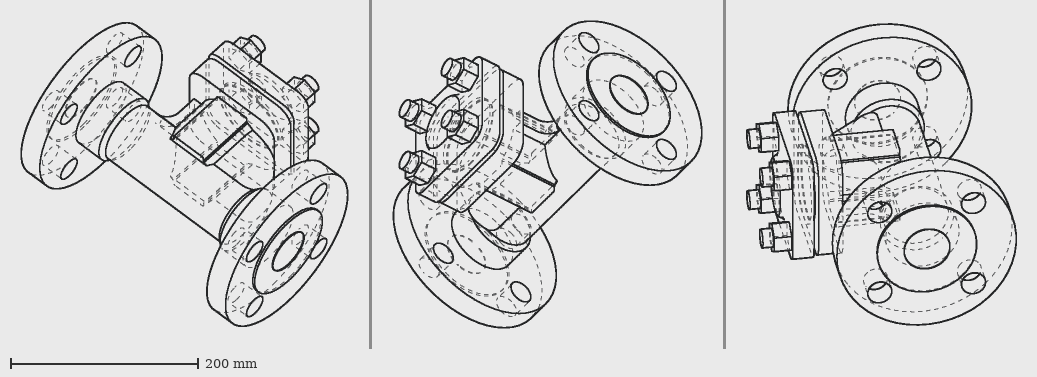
import cadquery as cq
import math

overall_length = 300.0
raised_face_height = 2.7
raised_face_radius = 54.0
flange_radius = 97.5
flange_thickness = 27.0
bolt_circle_radius = 72.0
bolt_hole_diameter = 26.0
port_radius = 25.0
port_depth = 1.0
hub_radius = 40.0
pipe_radius = 35.0
hub_length = 33.0
hub_taper_length = 5.5

run_end = overall_length / 2
flange_face = run_end - raised_face_height
flange_back = flange_face - flange_thickness
hub_end = flange_back - hub_length
taper_end = hub_end - hub_taper_length

neck_radius = 43.5
neck_start = 6.3
bonnet_width = 122.5
body_plate_start = 75.5
body_plate_thickness = 26.0
body_plate_corner = 20.0
gasket_gap = 4.8
gasket_seat_height = 1.0
gasket_radius = 43.0
gasket_seat_radius = 41.7
cover_thickness = 23.0
cover_corner = 15.0

body_plate_end = body_plate_start + body_plate_thickness
cover_start = body_plate_end + gasket_gap
cover_end = cover_start + cover_thickness

boss_radius = 32.5
boss_height = 8.0
boss_taper_angle = 30.0
boss_root_fillet = 6.0
boss_edge_chamfer = 1.5
stud_offset = 38.7
stud_diameter = 20.5
stud_top = 160.0
nut_across_flats = 30.0
nut_height = 19.0

pad_half_width = 21.3
pad_face = 45.3
pad_edge_radius = 2.0
pad_root_flare = 1.2
pad_root_height = 1.8

shoulder_radius = 32.0
shoulder_angle = 52.0
shoulder_axis_x = 30.3
shoulder_axis_y = 63.5

web_thickness = 18.0
web_edge = 54.5
web_root_radius = 18.0


def along_y(start):
    """Workplane facing +Y at height start; its local axes are Z and X."""
    return cq.Workplane("ZX", origin=(0, start, 0))


def make_run():
    """Revolve the pipe, hubs, flanges and raised faces in one profile."""
    half_profile = [
        (run_end, raised_face_radius),
        (flange_face, raised_face_radius),
        (flange_face, flange_radius),
        (flange_back, flange_radius),
        (flange_back, hub_radius),
        (hub_end, hub_radius),
        (taper_end, pipe_radius),
    ]
    mirrored = [(-x, radius) for x, radius in reversed(half_profile)]
    outline = [(run_end, 0)] + half_profile + mirrored + [(-run_end, 0)]
    return cq.Workplane("XY").polyline(outline).close().revolve(360, (0, 0, 0), (1, 0, 0))


def make_bolt_holes():
    holes = (
        cq.Workplane("YZ", origin=(flange_back, 0, 0))
        .polarArray(bolt_circle_radius, 45, 360, 4)
        .circle(bolt_hole_diameter / 2)
        .extrude(flange_thickness)
    )
    return holes.union(holes.mirror("YZ"))


def make_port_recesses():
    """Shallow round recesses that mark the port in each raised face."""
    recess = cq.Workplane("YZ", origin=(run_end, 0, 0)).circle(port_radius).extrude(-port_depth)
    return recess.union(recess.mirror("YZ"))


def make_plate(start, thickness, corner_radius):
    plate = along_y(start).rect(bonnet_width, bonnet_width).extrude(thickness)
    return plate.edges("|Y").fillet(corner_radius)


def make_neck():
    return along_y(neck_start).circle(neck_radius).extrude(body_plate_start - neck_start)


def make_pads():
    """Flat bar across the neck, with rounded outer edges and flared roots."""
    root_half_width = pad_half_width + pad_root_flare
    root = math.sqrt(neck_radius**2 - root_half_width**2)
    shoulder_z = pad_face - pad_edge_radius
    face_half_width = pad_half_width - pad_edge_radius
    flare_end = root + pad_root_height
    profile = (
        along_y(neck_start)
        .moveTo(0, -root_half_width)
        .lineTo(root, -root_half_width)
        .lineTo(flare_end, -pad_half_width)
        .lineTo(shoulder_z, -pad_half_width)
        .radiusArc((pad_face, -face_half_width), -pad_edge_radius)
        .lineTo(pad_face, face_half_width)
        .radiusArc((shoulder_z, pad_half_width), -pad_edge_radius)
        .lineTo(flare_end, pad_half_width)
        .lineTo(root, root_half_width)
        .lineTo(0, root_half_width)
        .close()
    )
    pad = profile.extrude(body_plate_start - neck_start)
    return pad.union(pad.mirror("XY"))


def make_shoulder():
    """Slanted round bar with flat cheeks filling the corner below it."""
    slope = math.tan(math.radians(shoulder_angle))
    direction = cq.Vector(1, -slope, 0).normalized()
    reach = overall_length / 2
    start = cq.Vector(shoulder_axis_x, shoulder_axis_y, 0) - direction * (reach / 2)
    bar = cq.Workplane(cq.Solid.makeCylinder(shoulder_radius, reach, start, direction))

    foot_x = shoulder_axis_x + shoulder_axis_y / slope
    cheeks = (
        cq.Workplane("XY")
        .polyline([(0, 0), (foot_x, 0), (shoulder_axis_x, shoulder_axis_y), (0, shoulder_axis_y)])
        .close()
        .extrude(shoulder_radius, both=True)
    )
    limits = cq.Workplane("XY").box(
        flange_back, body_plate_start, 2 * shoulder_radius, centered=(False, False, True)
    )
    return bar.union(cheeks).intersect(limits)


def make_web():
    root_y = math.sqrt(pipe_radius**2 - (web_thickness / 2) ** 2)
    root_x = web_edge + web_root_radius
    return (
        cq.Workplane("XY")
        .moveTo(0, 0)
        .lineTo(0, body_plate_start)
        .lineTo(-web_edge, body_plate_start)
        .lineTo(-web_edge, root_y + web_root_radius)
        .radiusArc((-root_x, root_y), web_root_radius)
        .lineTo(-root_x, 0)
        .close()
        .extrude(web_thickness / 2, both=True)
    )


def make_gasket():
    """Round ring that carries the cover, stepped in just above the body plate."""
    seat_end = body_plate_end + gasket_seat_height
    seat = along_y(body_plate_end).circle(gasket_seat_radius).extrude(gasket_seat_height)
    ring = along_y(seat_end).circle(gasket_radius).extrude(cover_start - seat_end)
    return seat.union(ring)


def make_boss():
    """Tapered round cover boss with a concave root fillet and a chamfered top edge."""
    taper = math.radians(boss_taper_angle)
    boss_top = cover_end + boss_height
    chamfer_y = boss_top - boss_edge_chamfer
    root_y = cover_end + boss_root_fillet * (1 - math.sin(taper))
    root_radius = boss_radius + (chamfer_y - root_y) * math.tan(taper)
    base_radius = root_radius + boss_root_fillet * math.cos(taper)
    return (
        cq.Workplane("XY")
        .moveTo(0, cover_end)
        .lineTo(base_radius, cover_end)
        .radiusArc((root_radius, root_y), boss_root_fillet)
        .lineTo(boss_radius, chamfer_y)
        .lineTo(boss_radius - boss_edge_chamfer, boss_top)
        .lineTo(0, boss_top)
        .close()
        .revolve(360, (0, 0, 0), (0, 1, 0))
    )


def make_studs_and_nuts():
    spacing = 2 * stud_offset
    across_corners = nut_across_flats / math.cos(math.pi / 6)
    positions = along_y(cover_end).rarray(spacing, spacing, 2, 2)
    nuts = positions.polygon(6, across_corners).extrude(nut_height)
    studs = positions.circle(stud_diameter / 2).extrude(stud_top - cover_end)
    return nuts.union(studs)


result = make_run()
for feature in (
    make_neck(),
    make_pads(),
    make_shoulder(),
    make_web(),
    make_plate(body_plate_start, body_plate_thickness, body_plate_corner),
    make_gasket(),
    make_plate(cover_start, cover_thickness, cover_corner),
    make_boss(),
    make_studs_and_nuts(),
):
    result = result.union(feature)
result = result.cut(make_bolt_holes()).cut(make_port_recesses())